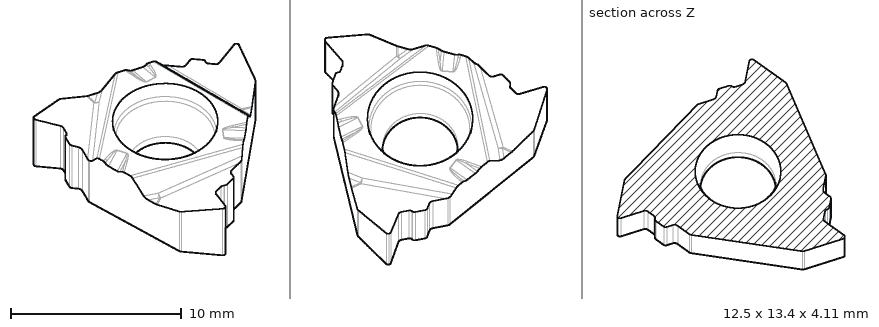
import math

import cadquery as cq

LOBES = 3
LOBE_ANGLE = 360 / LOBES
THICKNESS = 4.11
SIDE_HEADING = 60.0
INRADIUS = 4.75
FLANK_OFFSET = 6.458
TIP_OFFSET = 6.922
HALF_THREAD_ANGLE = 30.0
CREST_WIDTH = 0.20
CREST_RADIUS = 0.155

ROOT_LEVEL = 5.487
STEP_LEVEL = 5.688
SHOULDER_LEVEL = 5.125
STEP_X = -1.74
STEP_END_X = -0.823
PROFILE_SLOPE = 60.0
ROOT_RADIUS = 0.23
STEP_RADIUS = 0.19
SHOULDER_RADIUS = 0.28
SIDE_RADIUS = 0.24

RAKE_ANGLE = 15.0
TIP_HEIGHT = 3.96
WALL_ANGLE = 55.3
WALL_DIRECTION = 238.2
WALL_OFFSET = 3.455
WALL_TOP_RADIUS = 0.2
MOUTH_HEIGHT = 2.895
MOUTH_ANGLE = 5.0
GROOVE_RADIUS = 0.3

NOTCH_DEPTH = 0.2
NOTCH_LENGTH = 1.27
NOTCH_CENTER_Y = 0.275
NOTCH_HEADING = 13.0
NOTCH_FLOOR_HALF_WIDTH = 0.424
NOTCH_STEEP_ANGLE = 45.0
NOTCH_SHALLOW_ANGLE = 35.0
NOTCH_FLOOR_RADIUS = 0.3
NOTCH_RIM_RADIUS = 0.2

HOLE_DIAMETER = 4.4
RIM_RADIUS = 3.08
RIM_TAPER_RADIUS = 3.0
RIM_TAPER_DEPTH = 1.0
SEAT_RADIUS = 4.0
SEAT_TANGENT_DEPTH = 3.545
SEAT_TOP_DEPTH = 1.29

RIM_CLEARANCE = 0.02
NOTCH_REACH = 1.0
MARGIN = 2.0
REACH = 30.0


def tan(angle):
    return math.tan(math.radians(angle))


def sin(angle):
    return math.sin(math.radians(angle))


def cos(angle):
    return math.cos(math.radians(angle))


def turned(point, angle):
    x, y = point
    return (x * cos(angle) - y * sin(angle), x * sin(angle) + y * cos(angle))


def lobe_corners():
    """Sharp corners (point, rounding radius) of the lower left lobe, in counterclockwise order."""
    flank_start_y = -(FLANK_OFFSET - INRADIUS * cos(HALF_THREAD_ANGLE)) / sin(HALF_THREAD_ANGLE)
    crest_x = -(FLANK_OFFSET - TIP_OFFSET * sin(HALF_THREAD_ANGLE)) / cos(HALF_THREAD_ANGLE)
    crest_end_x = crest_x + CREST_WIDTH
    root_x = crest_end_x + (TIP_OFFSET - ROOT_LEVEL) * tan(HALF_THREAD_ANGLE)
    step_bottom_x = STEP_X + (STEP_LEVEL - ROOT_LEVEL) / tan(PROFILE_SLOPE)
    shoulder_x = STEP_END_X + (STEP_LEVEL - SHOULDER_LEVEL) / tan(PROFILE_SLOPE)
    side_x = (INRADIUS - SHOULDER_LEVEL * sin(SIDE_HEADING)) / cos(SIDE_HEADING)
    return [
        ((-INRADIUS, flank_start_y), SIDE_RADIUS),
        ((crest_x, -TIP_OFFSET), CREST_RADIUS),
        ((crest_end_x, -TIP_OFFSET), CREST_RADIUS),
        ((root_x, -ROOT_LEVEL), ROOT_RADIUS),
        ((STEP_X, -ROOT_LEVEL), STEP_RADIUS),
        ((step_bottom_x, -STEP_LEVEL), STEP_RADIUS),
        ((STEP_END_X, -STEP_LEVEL), STEP_RADIUS),
        ((shoulder_x, -SHOULDER_LEVEL), SHOULDER_RADIUS),
        ((side_x, -SHOULDER_LEVEL), SIDE_RADIUS),
    ]


def corner_arc(before, corner, after, radius):
    """Start, middle and end of the arc that rounds a corner."""
    here = cq.Vector(*corner)
    back = (cq.Vector(*before) - here).normalized()
    ahead = (cq.Vector(*after) - here).normalized()
    half_angle = back.getAngle(ahead) / 2
    setback = radius / math.tan(half_angle)
    inward = (back + ahead).normalized()
    middle = here + inward * (radius / math.sin(half_angle) - radius)
    return here + back * setback, middle, here + ahead * setback


def make_body():
    corners = []
    for lobe in range(LOBES):
        corners += [(turned(point, lobe * LOBE_ANGLE), radius) for point, radius in lobe_corners()]
    outline = cq.Workplane("XY")
    for index, (corner, radius) in enumerate(corners):
        before = corners[index - 1][0]
        after = corners[(index + 1) % len(corners)][0]
        start, middle, end = corner_arc(before, corner, after, radius)
        outline = outline.moveTo(start.x, start.y) if index == 0 else outline.lineTo(start.x, start.y)
        outline = outline.threePointArc((middle.x, middle.y), (end.x, end.y))
    return outline.close().extrude(THICKNESS)


def half_space(point, normal):
    """Large block filling the side of a plane that its normal points to."""
    return cq.Workplane(cq.Plane(origin=point, normal=normal)).rect(REACH, REACH).extrude(REACH)


def make_groove():
    """Space above the rake face and the mouth floor, outside the wall, with rounded inner edges."""
    wall_x, wall_y = turned((1, 0), WALL_DIRECTION)
    wall_normal = (wall_x * sin(WALL_ANGLE), wall_y * sin(WALL_ANGLE), cos(WALL_ANGLE))
    wall_top = (wall_x * WALL_OFFSET, wall_y * WALL_OFFSET, THICKNESS)
    wall = half_space(wall_top, wall_normal)
    rake = half_space((0, -TIP_OFFSET, TIP_HEIGHT), (0, sin(RAKE_ANGLE), cos(RAKE_ANGLE)))
    mouth = half_space((-INRADIUS, 0, MOUTH_HEIGHT), (sin(MOUTH_ANGLE), 0, cos(MOUTH_ANGLE)))
    groove = wall.intersect(rake).intersect(mouth)
    meeting_edges = groove.vertices("<Z").ancestors("Edge")
    return groove.newObject(meeting_edges.vals()).fillet(GROOVE_RADIUS)


def make_notch():
    """Trapezoidal channel whose floor climbs inwards until it meets the top face."""
    run_x, run_y = turned((1, 0), NOTCH_HEADING)
    axis = (run_x, run_y, NOTCH_DEPTH * run_x / NOTCH_LENGTH)
    origin = (-INRADIUS, NOTCH_CENTER_Y, THICKNESS - NOTCH_DEPTH)
    section = cq.Plane(origin=origin, xDir=(-run_y, run_x, 0), normal=axis)
    half = NOTCH_FLOOR_HALF_WIDTH
    return (
        cq.Workplane(section)
        .moveTo(-half, 0)
        .lineTo(half, 0)
        .lineTo(half + MARGIN / tan(NOTCH_STEEP_ANGLE), MARGIN)
        .lineTo(-half - MARGIN / tan(NOTCH_SHALLOW_ANGLE), MARGIN)
        .close()
        .extrude(MARGIN, both=True)
        .faces("<Z")
        .edges(cq.selectors.ParallelDirSelector(cq.Vector(*axis)))
        .fillet(NOTCH_FLOOR_RADIUS)
    )


def make_hole():
    hole_radius = HOLE_DIAMETER / 2
    taper_end = (RIM_TAPER_RADIUS, THICKNESS - RIM_TAPER_DEPTH)
    seat_angle = math.degrees(math.asin((SEAT_TANGENT_DEPTH - SEAT_TOP_DEPTH) / SEAT_RADIUS))

    def seat_point(angle):
        radius = hole_radius + SEAT_RADIUS * (1 - cos(angle))
        return (radius, THICKNESS - SEAT_TANGENT_DEPTH + SEAT_RADIUS * sin(angle))

    return (
        cq.Workplane("XZ")
        .moveTo(0, THICKNESS)
        .lineTo(RIM_RADIUS, THICKNESS)
        .lineTo(*taper_end)
        .tangentArcPoint(seat_point(seat_angle), relative=False)
        .threePointArc(seat_point(seat_angle / 2), seat_point(0))
        .lineTo(hole_radius, 0)
        .lineTo(0, 0)
        .close()
        .revolve(360, (0, 0), (0, 1))
    )


def cut_groove(part):
    """Cut the chip groove of the lower left lobe and round the top edge of its wall."""
    wall_top = (*turned((WALL_OFFSET, 0), WALL_DIRECTION), THICKNESS)
    grooved = part.cut(make_groove())
    return grooved.edges(cq.selectors.NearestToPointSelector(wall_top)).fillet(WALL_TOP_RADIUS)


def cut_notch(part):
    """Cut the notch of the left side and round its rim on the top face."""
    rim_region = cq.selectors.BoxSelector(
        (-INRADIUS + RIM_CLEARANCE, NOTCH_CENTER_Y - NOTCH_REACH, THICKNESS - RIM_CLEARANCE),
        (-RIM_RADIUS, NOTCH_CENTER_Y + NOTCH_REACH, THICKNESS + RIM_CLEARANCE),
    )
    return part.cut(make_notch()).edges(rim_region).fillet(NOTCH_RIM_RADIUS)


result = make_body()
for _ in range(LOBES):
    result = cut_notch(cut_groove(result)).rotate((0, 0, 0), (0, 0, 1), LOBE_ANGLE)
result = result.cut(make_hole())